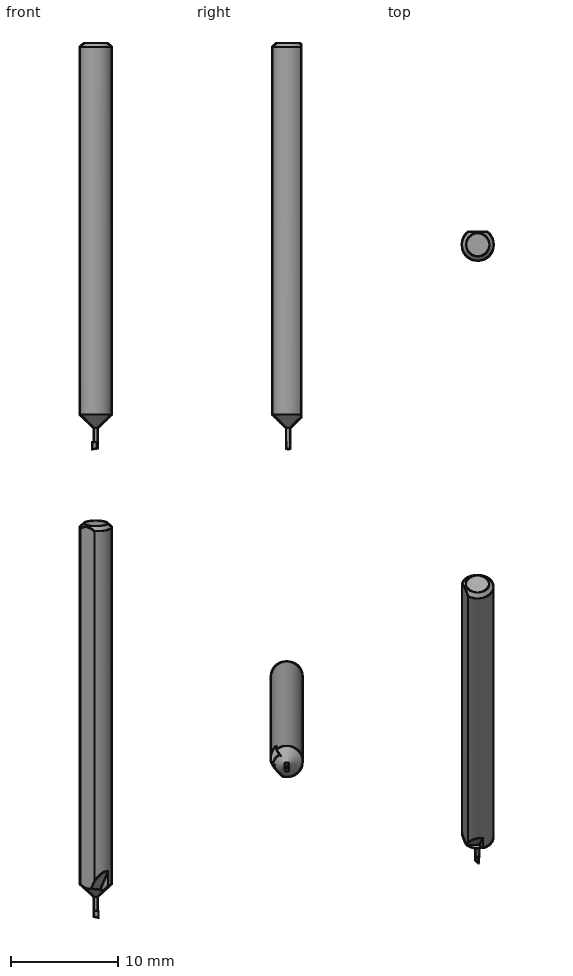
import cadquery as cq
import math

total_length = 38.0
shank_radius = 1.5
back_flat_y = 1.235
top_chamfer_width = 0.4
top_chamfer_height = 0.38

neck_radius = 0.21
neck_bottom_z = 0.08
cone_bottom_z = 2.0
cone_top_z = 3.25

relief_top_z = 4.67
relief_floor_z = 2.77
relief_floor_rise = 0.25
relief_run_per_height = 0.5
relief_run_per_width = 0.2

tooth_height = 0.7
tooth_reach = 0.35
tooth_root_x = 0.08


def turned_body():
    """Shank, cone and neck as one revolved profile."""
    return (
        cq.Workplane("XZ")
        .moveTo(0, neck_bottom_z)
        .lineTo(neck_radius, neck_bottom_z)
        .lineTo(neck_radius, cone_bottom_z)
        .lineTo(shank_radius, cone_top_z)
        .lineTo(shank_radius, total_length - top_chamfer_height)
        .lineTo(shank_radius - top_chamfer_width, total_length)
        .lineTo(0, total_length)
        .close()
        .revolve(360, (0, 0), (0, 1))
    )


def back_flat_cut():
    """Stock beyond the flat that runs along the +Y side."""
    return cq.Workplane("XY").box(
        2 * shank_radius, shank_radius, total_length, centered=(True, False, False)
    ).translate((0, back_flat_y, 0))


def relief_section(y):
    """Triangle of removed stock at the given Y."""
    start_x = -shank_radius + relief_run_per_width * y
    floor_z = relief_floor_z + relief_floor_rise * y
    depth = relief_run_per_height * (relief_top_z - floor_z)
    outer_x = -2 * shank_radius
    outer_z = relief_top_z + (start_x - outer_x) / relief_run_per_height
    points = [
        (outer_x, outer_z),
        (start_x + depth, floor_z),
        (outer_x, floor_z),
    ]
    return cq.Wire.makePolygon([cq.Vector(x, y, z) for x, z in points], close=True)


def relief_cut():
    """Inclined plane running down and inward to a gently sloping floor."""
    sections = [relief_section(0), relief_section(shank_radius)]
    return cq.Workplane(obj=cq.Solid.makeLoft(sections, True))


def tip_clearance_cut():
    """Neck stock on the -X side of the tip, replaced by the tooth."""
    return cq.Workplane("XY").box(
        2 * neck_radius, 2 * neck_radius, tooth_height, centered=(False, True, False)
    ).translate((tooth_root_x - 2 * neck_radius, 0, 0))


def tooth():
    """Wedge pointing along -X, with a lower face that rises toward the neck."""
    half_width = math.sqrt(neck_radius**2 - tooth_root_x**2)
    plan = (
        cq.Workplane("XY")
        .polyline([(-tooth_reach, 0), (tooth_root_x, -half_width), (tooth_root_x, half_width)])
        .close()
        .extrude(tooth_height)
    )
    side = (
        cq.Workplane("XZ")
        .moveTo(-tooth_reach, 0)
        .lineTo(tooth_root_x, neck_bottom_z)
        .lineTo(tooth_root_x, tooth_height)
        .lineTo(-tooth_reach, tooth_height)
        .close()
        .extrude(neck_radius, both=True)
    )
    return plan.intersect(side)


result = (
    turned_body()
    .cut(back_flat_cut())
    .cut(relief_cut())
    .cut(tip_clearance_cut())
    .union(tooth())
)